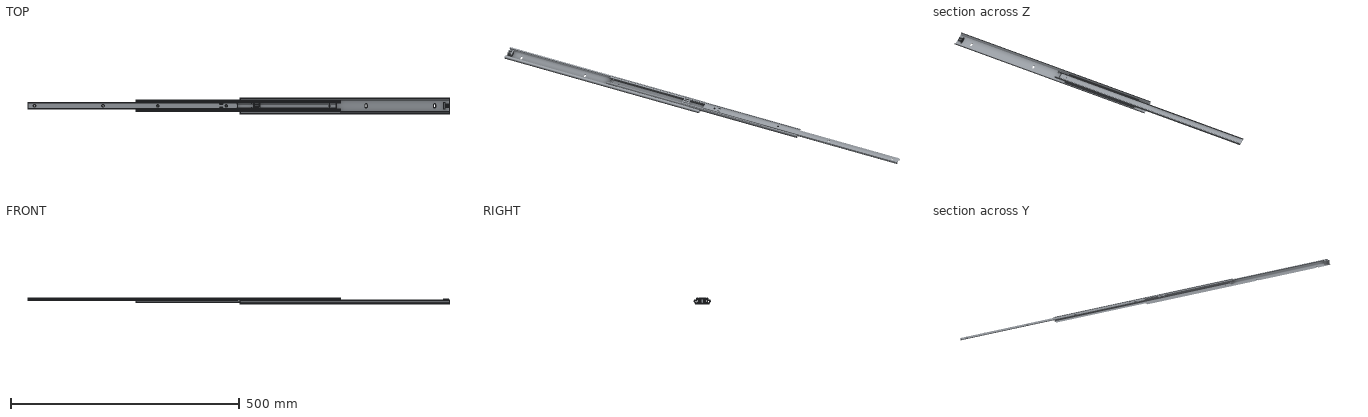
import cadquery as cq
import math


total_length = 923.46
total_width = 35.3
total_height = 13.0
rail_length = 458.46
sheet = 1.2

outer_start = total_length - rail_length
outer_half = total_width / 2
outer_flange_radius = 3.3
outer_flange_centre = (outer_half - outer_flange_radius, 5.5)
lip_angle = math.radians(95)
lip_length = 1.4
bevel_angle = math.radians(-38)
outer_hole_x = (740.5, 890.5)
outer_slot_width = 4.4
outer_slot_height = 8.4
end_slot_width = 2.4
stop_start = 910.5
stop_wall = 3.0
stop_half = 7.0
stop_end = 921.5
stop_top = 11.0
ear_inner_y = 2.6

middle_start = 236.5
middle_end = 685.0
middle_half = 12.5
middle_base = 2.8
neck_half = 8.7
shelf_base = 9.1
middle_flange_radius = 6.0
middle_flange_angle = math.radians(35)
rib_half = 4.5
rib_rise = 0.6
end_notch_length = 9.0
end_notch_width = 13.0
stop_tab_top = 7.6
locating_hole_x = 660.5
locating_hole_diameter = 2.5

inner_half = 6.9
inner_base = 7.5
inner_corner_radius = 0.8
ball_groove_radius = 0.8
ball_groove_z = 10.6
ball_groove_offset = 0.4
inner_hole_x = (14.5, 164.5, 284.5, 434.5)
inner_hole_diameter = 5.0
window_start = 420.5
window_length = 6.0
window_inner_y = 2.8
window_outer_y = 5.2

inner_cage_start = 320.0
inner_cage_end = 508.0
inner_bridge_length = 14.5
inner_strip_y = (7.6, 9.4)
inner_strip_z = (10.5, 11.6)
bridge_slot_length = 11.0
bridge_slot_width = 3.0
bridge_slot_pitch = 5.5

outer_cage_start = 490.0
outer_cage_end = 660.0
outer_cage_half = 12.0
outer_cage_base = 1.5
outer_cage_top = 8.0
outer_cage_sheet = 0.9


def box(x, y, z):
    """Box spanning the given (low, high) pairs."""
    size = (x[1] - x[0], y[1] - y[0], z[1] - z[0])
    return cq.Workplane("XY").box(*size, centered=False).translate((x[0], y[0], z[0]))


def both_sides(half):
    """Join a half body on the +Y side with its mirror image."""
    return half.union(half.mirror("XZ"))


def section(x):
    """Sketch plane across the slide at x: local axes are Y and Z."""
    return cq.Workplane("YZ", origin=(x, 0, 0))


def arc_point(centre, radius, angle):
    """Point on a circle at an angle measured from +Y towards +Z."""
    return (centre[0] + radius * math.cos(angle), centre[1] + radius * math.sin(angle))


def make_outer_rail():
    """C channel open upwards: bevelled lower corners, rounded flanges and inward lips."""
    centre = outer_flange_centre
    inside_radius = outer_flange_radius - sheet
    bevel_outside = arc_point(centre, outer_flange_radius, bevel_angle)
    bevel_inside = arc_point(centre, inside_radius, bevel_angle)
    lip_outside = arc_point(centre, outer_flange_radius, lip_angle)
    lip_inside = arc_point(centre, inside_radius, lip_angle)
    lip_run = -lip_length * math.sin(lip_angle)
    lip_rise = lip_length * math.cos(lip_angle)
    bevel_run_per_rise = -math.tan(bevel_angle)
    rail = both_sides(
        section(outer_start)
        .moveTo(0, 0)
        .lineTo(bevel_outside[0] - bevel_outside[1] * bevel_run_per_rise, 0)
        .lineTo(*bevel_outside)
        .threePointArc((outer_half, centre[1]), lip_outside)
        .line(lip_run, lip_rise)
        .lineTo(lip_inside[0] + lip_run, lip_inside[1] + lip_rise)
        .lineTo(*lip_inside)
        .threePointArc((outer_half - sheet, centre[1]), bevel_inside)
        .lineTo(bevel_inside[0] - (bevel_inside[1] - sheet) * bevel_run_per_rise, sheet)
        .lineTo(0, sheet)
        .close()
        .extrude(rail_length)
    )
    for x in outer_hole_x:
        slot = cq.Workplane("XY").center(x, 0).slot2D(outer_slot_height, outer_slot_width, 90)
        rail = rail.cut(slot.extrude(sheet))
    half_slot = end_slot_width / 2
    wall_end = stop_start + stop_wall
    rail = rail.cut(box((wall_end, total_length), (-half_slot, half_slot), (0, sheet)))
    wall = box((stop_start, wall_end), (-stop_half, stop_half), (0, stop_top))
    ear = box((wall_end, stop_end), (ear_inner_y, ear_inner_y + sheet), (0, stop_top))
    return rail.union(wall).union(both_sides(ear))


def make_middle_rail():
    """Trough with a raised web; outward shelves carry rounded flanges that lean inward."""
    centre = (middle_half - middle_flange_radius, shelf_base)
    inside_radius = middle_flange_radius - sheet
    half_angle = middle_flange_angle / 2
    web_top = middle_base + sheet
    shelf_top = shelf_base + sheet
    shelf_inside = centre[0] + math.sqrt(inside_radius**2 - sheet**2)
    rail = both_sides(
        section(middle_start)
        .moveTo(0, middle_base + rib_rise)
        .lineTo(rib_half, middle_base + rib_rise)
        .lineTo(rib_half, middle_base)
        .lineTo(neck_half, middle_base)
        .lineTo(neck_half, shelf_base)
        .lineTo(middle_half, shelf_base)
        .threePointArc(
            arc_point(centre, middle_flange_radius, half_angle),
            arc_point(centre, middle_flange_radius, middle_flange_angle),
        )
        .lineTo(*arc_point(centre, inside_radius, middle_flange_angle))
        .threePointArc(arc_point(centre, inside_radius, half_angle), (shelf_inside, shelf_top))
        .lineTo(neck_half - sheet, shelf_top)
        .lineTo(neck_half - sheet, web_top)
        .lineTo(rib_half, web_top)
        .lineTo(rib_half, web_top + rib_rise)
        .lineTo(0, web_top + rib_rise)
        .close()
        .extrude(middle_end - middle_start)
    )
    half_notch = end_notch_width / 2
    notch_x = middle_end - end_notch_length
    rib_top = web_top + rib_rise
    rail = rail.cut(box((notch_x, middle_end), (-half_notch, half_notch), (middle_base, rib_top)))
    rail = rail.union(box((notch_x - sheet, notch_x), (-half_notch, half_notch), (web_top, stop_tab_top)))
    hole = cq.Workplane("XY", origin=(locating_hole_x, 0, middle_base))
    return rail.cut(hole.circle(locating_hole_diameter / 2).extrude(rib_top - middle_base))


def make_inner_rail():
    """Channel open downwards, with a ball groove along each side."""
    inside_half = inner_half - sheet
    web_base = total_height - sheet
    rail = box((0, rail_length), (-inner_half, inner_half), (inner_base, total_height))
    rail = rail.edges("|X and >Z").fillet(inner_corner_radius)
    rail = rail.cut(box((0, rail_length), (-inside_half, inside_half), (inner_base, web_base)))
    groove = (
        section(0)
        .center(inner_half + ball_groove_offset, ball_groove_z)
        .circle(ball_groove_radius)
        .extrude(rail_length)
    )
    rail = rail.cut(groove).cut(groove.mirror("XZ"))
    holes = (
        cq.Workplane("XY", origin=(0, 0, web_base))
        .pushPoints([(x, 0) for x in inner_hole_x])
        .circle(inner_hole_diameter / 2)
        .extrude(sheet)
    )
    window = box(
        (window_start, window_start + window_length),
        (window_inner_y, window_outer_y),
        (web_base, total_height),
    )
    return rail.cut(holes).cut(window).cut(window.mirror("XZ"))


def make_inner_cage():
    """Two ball strips in the middle rail's flanges, joined by a bridge past the inner rail's end."""
    strip = box((inner_cage_start, inner_cage_end), inner_strip_y, inner_strip_z)
    bridge_x = (inner_cage_end - inner_bridge_length, inner_cage_end)
    bridge = box(bridge_x, (-inner_strip_y[1], inner_strip_y[1]), inner_strip_z)
    slots = (
        cq.Workplane("XY", origin=(sum(bridge_x) / 2, 0, inner_strip_z[0]))
        .rarray(1, bridge_slot_pitch, 1, 3)
        .slot2D(bridge_slot_length, bridge_slot_width)
        .extrude(inner_strip_z[1] - inner_strip_z[0])
    )
    return both_sides(strip).union(bridge).cut(slots)


def make_outer_cage():
    """Thin U channel lying between the outer and the middle rail."""
    x = (outer_cage_start, outer_cage_end)
    inside_half = outer_cage_half - outer_cage_sheet
    inside_base = outer_cage_base + outer_cage_sheet
    cage = box(x, (-outer_cage_half, outer_cage_half), (outer_cage_base, outer_cage_top))
    return cage.cut(box(x, (-inside_half, inside_half), (inside_base, outer_cage_top)))


outer_rail = make_outer_rail()
middle_rail = make_middle_rail()
inner_rail = make_inner_rail()
inner_cage = make_inner_cage()
outer_cage = make_outer_cage()

result = cq.Compound.makeCompound(
    [outer_rail.val(), middle_rail.val(), inner_rail.val(), inner_cage.val(), outer_cage.val()]
)